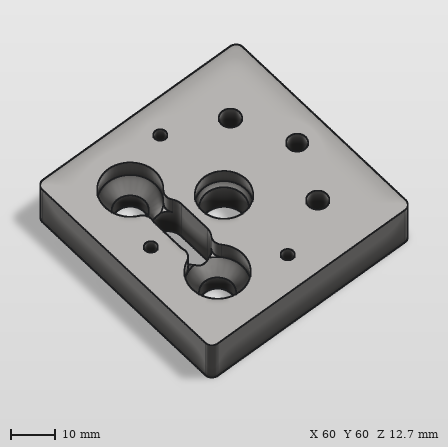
import cadquery as cq

side = 60.0
thickness = 12.7
corner_radius = 2.0

center_bore_diameter = 13.2
center_hole_diameter = 11.2
center_bore_depth = 4.0

fixing_offset = 15.0
plain_hole_diameter = 5.3
seat_bore_diameter = 15.0
seat_hole_diameter = 8.4
seat_bore_depth = 5.0

small_hole_diameter = 3.2
small_hole_offset = 21.9
back_hole_diameter = 5.0
back_hole_offset = 21.9

slot_length = 16.8
slot_width = 8.0
slot_y = -12.9
blend_radius = 2.5


def cylinder(diameter, depth, points):
    """Cylinders from the top face down to a depth, for cutting."""
    return cq.Workplane("XY").pushPoints(points).circle(diameter / 2).extrude(-depth)


def cone_step(bore_diameter, hole_diameter, bore_depth, points):
    """Bore, 45 degree conical step and through hole, as one cutter per point."""
    bore_radius = bore_diameter / 2
    hole_radius = hole_diameter / 2
    step_depth = bore_depth + bore_radius - hole_radius
    profile = (
        cq.Workplane("XZ")
        .polyline([
            (0, 0),
            (bore_radius, 0),
            (bore_radius, -bore_depth),
            (hole_radius, -step_depth),
            (hole_radius, -thickness),
            (0, -thickness),
        ])
        .close()
        .revolve(360, (0, 0, 0), (0, 1, 0))
    )
    return cq.Workplane("XY").pushPoints(points).eachpoint(lambda place: profile.val().moved(place))


def slot(depth):
    """Round-ended slot from the top face down to a depth, for cutting."""
    return cq.Workplane("XY").center(0, slot_y).slot2D(slot_length, slot_width).extrude(-depth)


seat_points = [(-fixing_offset, -fixing_offset), (fixing_offset, -fixing_offset)]
plain_points = [(-fixing_offset, fixing_offset), (fixing_offset, fixing_offset)]
small_points = [(-small_hole_offset, 0), (small_hole_offset, 0), (0, -small_hole_offset)]

corner_clearance = 0.05


def middle_zone(length):
    """Selector for what lies within a length of the slot, centered on X = 0."""
    return cq.selectors.BoxSelector(
        (-length / 2, slot_y - slot_width, -thickness),
        (length / 2, slot_y + slot_width, thickness),
    )


straight_length = slot_length - slot_width
slot_ends = middle_zone(slot_length) - middle_zone(straight_length + corner_clearance)
pocket = (
    cylinder(seat_bore_diameter, seat_bore_depth, seat_points)
    .union(slot(seat_bore_depth))
    .edges("|Z")
    .edges(slot_ends)
    .fillet(blend_radius)
)

result = (
    cq.Workplane("XY")
    .rect(side, side)
    .extrude(-thickness)
    .edges("|Z")
    .fillet(corner_radius)
    .cut(cone_step(center_bore_diameter, center_hole_diameter, center_bore_depth, [(0, 0)]))
    .cut(cylinder(plain_hole_diameter, thickness, plain_points))
    .cut(cylinder(small_hole_diameter, thickness, small_points))
    .cut(cylinder(back_hole_diameter, thickness, [(0, back_hole_offset)]))
    .cut(cone_step(seat_bore_diameter, seat_hole_diameter, seat_bore_depth, seat_points))
    .cut(pocket)
    .cut(slot(thickness))
)